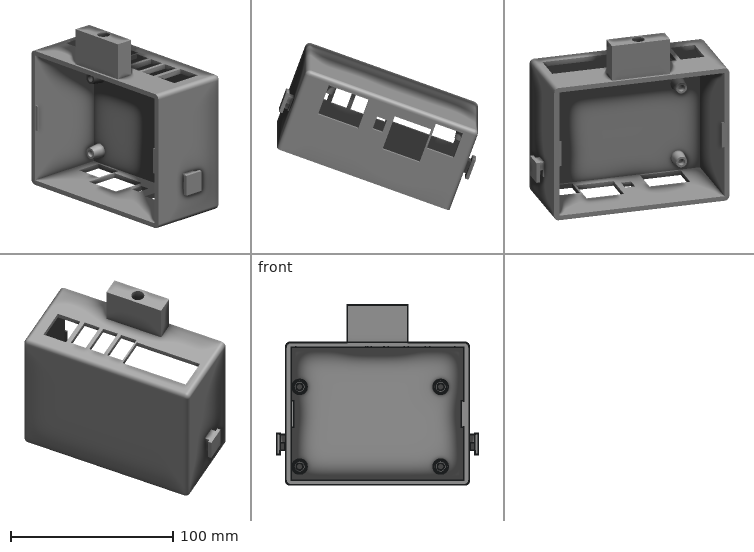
import cadquery as cq

overall_width = 124.2
overall_height = 110.8
case_width = 113.0
case_depth = 53.0
boss_height = 23.0
case_height = overall_height - boss_height
back_wall = 3.0
side_wall = 3.25
top_wall = 3.0
edge_radius = 3.0

inner_half_width = case_width / 2 - side_wall
inner_back = case_depth - back_wall

boss_width = 37.5
boss_front = 1.6
boss_back = 13.0
boss_hole_diameter = 8.0

small_port_front = 21.8
small_port_back = 41.5
roof_openings = [
    (-50.4, -7.2, 23.5, 43.6),
    (-6.1, 4.3, small_port_front, small_port_back),
    (6.65, 16.6, small_port_front, small_port_back),
    (19.0, 29.3, small_port_front, small_port_back),
    (32.1, 47.5, 22.2, 42.4),
]
floor_openings = [
    (-47.5, -29.8, 32.0, 48.5),
    (-28.6, -4.4, 22.2, 44.2),
    (-0.7, 5.75, 32.0, 40.3),
    (14.1, 40.4, 29.2, 48.5),
]

post_x_positions = (-47.95, 38.9)
post_z_positions = (11.3, 60.4)
post_length = 8.1
post_base_diameter = 9.1
post_tip_diameter = 7.0
post_hole_diameter = 4.25

button_reach = (overall_width - case_width) / 2
plate_thickness = 2.2
plate_size = 13.0
plate_front = 18.6
plate_bottom = 18.7
neck_length = button_reach - plate_thickness
neck_front = 20.5
neck_depth = 8.7
neck_bottom = 21.3
neck_height = 9.8
notch_height = 4.6
notch_depth = neck_depth / 2
notch_wall_gap = 0.7

rib_thickness = 1.6
rib_depth = 1.0
rib_bottom = 35.6
rib_height = 16.1
left_rib_setback = 0.5


def block(x_min, x_max, y_min, y_max, z_min, z_max):
    """Axis-aligned block between the given limits."""
    size = (x_max - x_min, y_max - y_min, z_max - z_min)
    return cq.Workplane("XY").box(*size, centered=False).translate((x_min, y_min, z_min))


def make_case():
    """Open-fronted shell with rounded outer edges and a square cavity."""
    half_width = case_width / 2
    shell = block(-half_width, half_width, 0, case_depth, 0, case_height)
    shell = shell.edges("|Y").fillet(edge_radius)
    shell = shell.faces(">Y").edges().fillet(edge_radius)
    cavity = block(
        -inner_half_width, inner_half_width, 0, inner_back, top_wall, case_height - top_wall
    )
    return shell.cut(cavity)


def make_boss():
    """Rectangular block standing on the roof."""
    return block(
        -boss_width / 2, boss_width / 2, boss_front, boss_back, case_height - top_wall, overall_height
    )


def make_boss_hole():
    """Vertical hole through the boss and the roof beneath it."""
    return (
        cq.Workplane("XY", origin=(0, (boss_front + boss_back) / 2, case_height - top_wall))
        .circle(boss_hole_diameter / 2)
        .extrude(boss_height + top_wall)
    )


def make_post(x, z):
    """Conical post reaching forward from the back wall, with a blind hole of its own length."""
    base = cq.Workplane("XZ", origin=(x, inner_back, z))
    cone = (
        base.circle(post_base_diameter / 2)
        .workplane(offset=post_length)
        .circle(post_tip_diameter / 2)
        .loft(ruled=True)
    )
    return cone.cut(base.circle(post_hole_diameter / 2).extrude(post_length))


def make_right_button():
    """Strap button on the +X side; the lower front of its neck is notched."""
    wall_x = case_width / 2
    plate_x = wall_x + neck_length
    neck = block(
        wall_x, plate_x,
        neck_front, neck_front + neck_depth,
        neck_bottom, neck_bottom + neck_height,
    )
    notch = block(
        wall_x + notch_wall_gap, plate_x,
        neck_front, neck_front + notch_depth,
        neck_bottom, neck_bottom + notch_height,
    )
    plate = block(
        plate_x, plate_x + plate_thickness,
        plate_front, plate_front + plate_size,
        plate_bottom, plate_bottom + plate_size,
    )
    return neck.cut(notch).union(plate)


def make_right_rib(setback):
    """Snap rib on the inner +X wall, set back from the rim."""
    return block(
        inner_half_width - rib_thickness, inner_half_width,
        setback, setback + rib_depth,
        rib_bottom, rib_bottom + rib_height,
    )


result = make_case().union(make_boss()).cut(make_boss_hole())

for x_min, x_max, y_min, y_max in roof_openings:
    result = result.cut(block(x_min, x_max, y_min, y_max, case_height - top_wall, case_height))

for x_min, x_max, y_min, y_max in floor_openings:
    result = result.cut(block(x_min, x_max, y_min, y_max, 0, top_wall))

for post_x in post_x_positions:
    for post_z in post_z_positions:
        result = result.union(make_post(post_x, post_z))

right_button = make_right_button()
result = result.union(right_button).union(right_button.mirror("YZ"))
result = result.union(make_right_rib(0))
result = result.union(make_right_rib(left_rib_setback).mirror("YZ"))